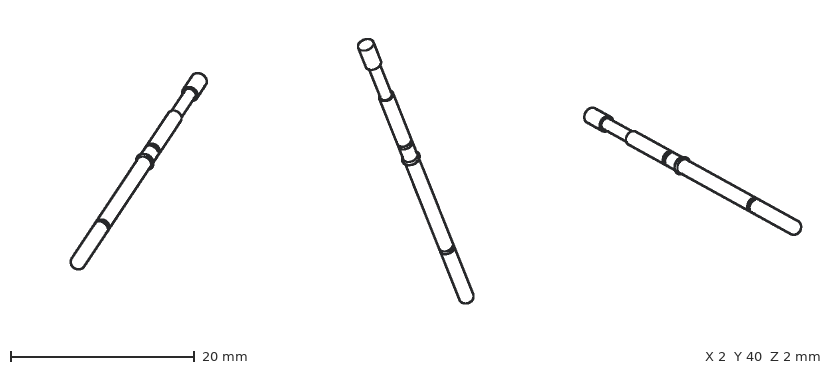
import cadquery as cq

length = 40.0
head_length = 3.0
head_diameter = 1.8
plunger_length = 5.0
plunger_diameter = 1.3
barrel_diameter = 1.65
tail_round = 0.45

collar_station = 17.75
collar_width = 0.5
collar_diameter = 2.0

groove_stations = (15.35, 31.8)
groove_width = 0.4
groove_depth = 0.15

head_face_y = length / 2
barrel_radius = barrel_diameter / 2
barrel_start = head_length + plunger_length


def cylinder(diameter, start, end):
    """Cylinder along Y between two stations."""
    plane = cq.Workplane("XZ", origin=(0, head_face_y - start, 0))
    return plane.circle(diameter / 2).extrude(end - start)


def revolve_about_y(profile):
    """Full turn of a closed XY profile about the Y axis."""
    return profile.revolve(360, (0, 0, 0), (0, 1, 0))


def round_collar():
    """Collar with a half-round rim."""
    y = head_face_y - collar_station
    half_width = collar_width / 2
    rim_start = collar_diameter / 2 - half_width
    profile = (
        cq.Workplane("XY")
        .moveTo(0, y - half_width)
        .lineTo(rim_start, y - half_width)
        .threePointArc((collar_diameter / 2, y), (rim_start, y + half_width))
        .lineTo(0, y + half_width)
        .close()
    )
    return revolve_about_y(profile)


def groove_cutter(station):
    """Ring that rolls a shallow arc-bottomed groove into the barrel."""
    y = head_face_y - station
    half_width = groove_width / 2
    outside = barrel_radius + groove_depth
    profile = (
        cq.Workplane("XY")
        .moveTo(outside, y - half_width)
        .lineTo(barrel_radius, y - half_width)
        .threePointArc((barrel_radius - groove_depth, y), (barrel_radius, y + half_width))
        .lineTo(outside, y + half_width)
        .close()
    )
    return revolve_about_y(profile)


head = cylinder(head_diameter, 0, head_length)
plunger = cylinder(plunger_diameter, head_length, barrel_start)
barrel = cylinder(barrel_diameter, barrel_start, length).faces("<Y").edges().fillet(tail_round)

for groove_station in groove_stations:
    barrel = barrel.cut(groove_cutter(groove_station))

result = barrel.union(round_collar()).union(plunger).union(head)